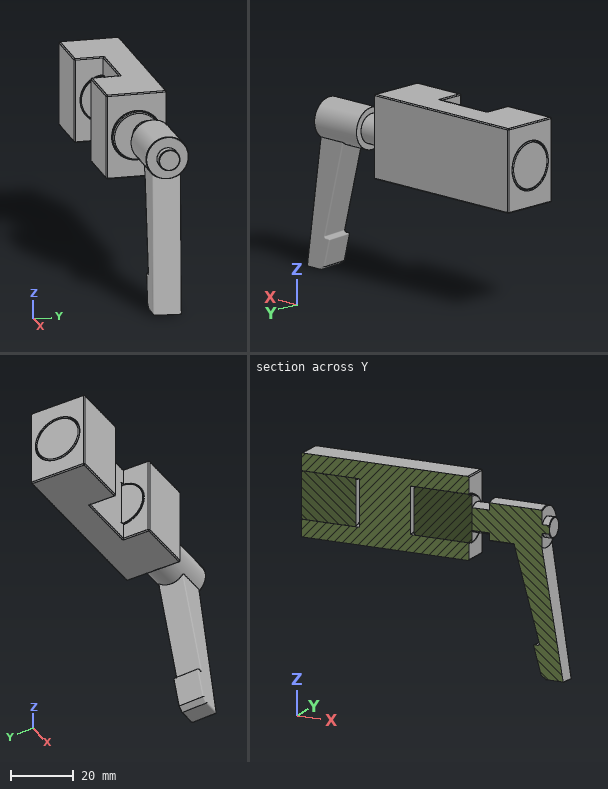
import cadquery as cq
import math


BLOCK_LENGTH = 60.0
BLOCK_DEPTH = 20.0
BLOCK_HEIGHT = 28.0
BLOCK_CHAMFER = 0.4
JAW_LENGTH = 19.7
SLOT_DEPTH = 9.6
SLOT_WIDTH = BLOCK_LENGTH - 2 * JAW_LENGTH
SLOT_FLOOR_Y = -BLOCK_DEPTH / 2 + SLOT_DEPTH

PIN_RADIUS = 8.0
PIN_CHAMFER = 0.4
PIN_PROTRUSION = 1.2
BORE_CHAMFER = 0.3
BORE_OVERRUN = 1.1

HANDLE_AXIS_Y = 3.3
STUD_RADIUS = 5.0
STUD_LENGTH = 6.1
HUB_RADIUS = 7.0
HUB_LENGTH = 18.9
BUTTON_RADIUS = 3.5
BUTTON_LENGTH = 2.6
END_CHAMFER = 0.2
STUD_START_X = BLOCK_LENGTH + PIN_PROTRUSION
HUB_START_X = STUD_START_X + STUD_LENGTH
HUB_END_X = HUB_START_X + HUB_LENGTH

LEVER_THICKNESS = 9.4
LEVER_TILT = 2.2
LEVER_BOTTOM_Z = -50.0
LEVER_TOP_Z = -1.9
LEVER_OUTER_TIP_X = 93.8
LEVER_OUTER_ANGLE = 9.9
LEVER_INNER_ROOT_X = 74.2
LEVER_INNER_ANGLE = 15.9
STEP_Z = -38.8
STEP_WIDTH = 2.3
STEP_RADIUS = 0.5
TOE_HEIGHT = 1.4
TOE_WIDTH = 1.9
LEVER_EDGE_RADIUS = 0.5


def cylinder_along_x(radius, start_x, length, axis_y=0.0):
    """Cylinder that starts at start_x and runs in +X."""
    return cq.Workplane("YZ", origin=(start_x, axis_y, 0)).circle(radius).extrude(length)


def make_block():
    """Chamfered block with a through slot in its -Y side and a bore through each jaw."""
    slot_end_x = JAW_LENGTH + SLOT_WIDTH
    block = (
        cq.Workplane("XY", origin=(0, 0, -BLOCK_HEIGHT / 2))
        .moveTo(0, -BLOCK_DEPTH / 2)
        .lineTo(JAW_LENGTH, -BLOCK_DEPTH / 2)
        .lineTo(JAW_LENGTH, SLOT_FLOOR_Y)
        .lineTo(slot_end_x, SLOT_FLOOR_Y)
        .lineTo(slot_end_x, -BLOCK_DEPTH / 2)
        .lineTo(BLOCK_LENGTH, -BLOCK_DEPTH / 2)
        .lineTo(BLOCK_LENGTH, BLOCK_DEPTH / 2)
        .lineTo(0, BLOCK_DEPTH / 2)
        .close()
        .extrude(BLOCK_HEIGHT)
    )
    block = block.faces("<Z or >Z or <X or >X or <Y").chamfer(BLOCK_CHAMFER)
    bore_length = JAW_LENGTH + BORE_OVERRUN
    for start_x in (0, BLOCK_LENGTH - bore_length):
        block = block.cut(cylinder_along_x(PIN_RADIUS, start_x, bore_length))
    block = block.faces("<X or >X").edges("%CIRCLE").chamfer(BORE_CHAMFER)
    return block


def make_pin(start_x, length):
    """Round pin with both ends chamfered."""
    return cylinder_along_x(PIN_RADIUS, start_x, length).faces("<X or >X").chamfer(PIN_CHAMFER)


def make_lever():
    """Tapered arm with a finger step near its toe, swung about the handle axis."""
    inner_slope = math.tan(math.radians(LEVER_INNER_ANGLE))
    outer_slope = math.tan(math.radians(LEVER_OUTER_ANGLE))

    def inner_x(z):
        return LEVER_INNER_ROOT_X - z * inner_slope

    def outer_x(z):
        return LEVER_OUTER_TIP_X - (z - LEVER_BOTTOM_Z) * outer_slope

    inner_step = (inner_x(STEP_Z), STEP_Z)
    outer_step = (inner_x(STEP_Z) - STEP_WIDTH, STEP_Z)
    toe_top_z = LEVER_BOTTOM_Z + TOE_HEIGHT
    toe_top_x = inner_x(toe_top_z) - STEP_WIDTH
    outline = [
        (outer_x(LEVER_TOP_Z), LEVER_TOP_Z),
        (inner_x(LEVER_TOP_Z), LEVER_TOP_Z),
        inner_step,
        outer_step,
        (toe_top_x, toe_top_z),
        (toe_top_x + TOE_WIDTH, LEVER_BOTTOM_Z),
        (LEVER_OUTER_TIP_X, LEVER_BOTTOM_Z),
    ]
    lever = cq.Workplane("XZ").polyline(outline).close().extrude(LEVER_THICKNESS / 2, both=True)
    for x, z in (inner_step, outer_step):
        lever = lever.edges(cq.selectors.NearestToPointSelector((x, 0, z))).fillet(STEP_RADIUS)
    lever = lever.faces("<Y or >Y").edges().fillet(LEVER_EDGE_RADIUS)
    return lever.rotate((0, 0, 0), (1, 0, 0), -LEVER_TILT).translate((0, HANDLE_AXIS_Y, 0))


def make_handle():
    """Stud, hub, end button and lever as one solid."""
    stud = cylinder_along_x(STUD_RADIUS, STUD_START_X, STUD_LENGTH, HANDLE_AXIS_Y)
    hub = cylinder_along_x(HUB_RADIUS, HUB_START_X, HUB_LENGTH, HANDLE_AXIS_Y)
    hub = hub.faces(">X").chamfer(END_CHAMFER)
    button = cylinder_along_x(BUTTON_RADIUS, HUB_END_X, BUTTON_LENGTH, HANDLE_AXIS_Y)
    button = button.faces(">X").chamfer(END_CHAMFER)
    return hub.union(stud).union(button).union(make_lever())


block = make_block()
pins = [
    make_pin(0, JAW_LENGTH),
    make_pin(BLOCK_LENGTH - JAW_LENGTH, JAW_LENGTH + PIN_PROTRUSION),
]
handle = make_handle()

result = cq.Compound.makeCompound([block.val(), *[pin.val() for pin in pins], handle.val()])